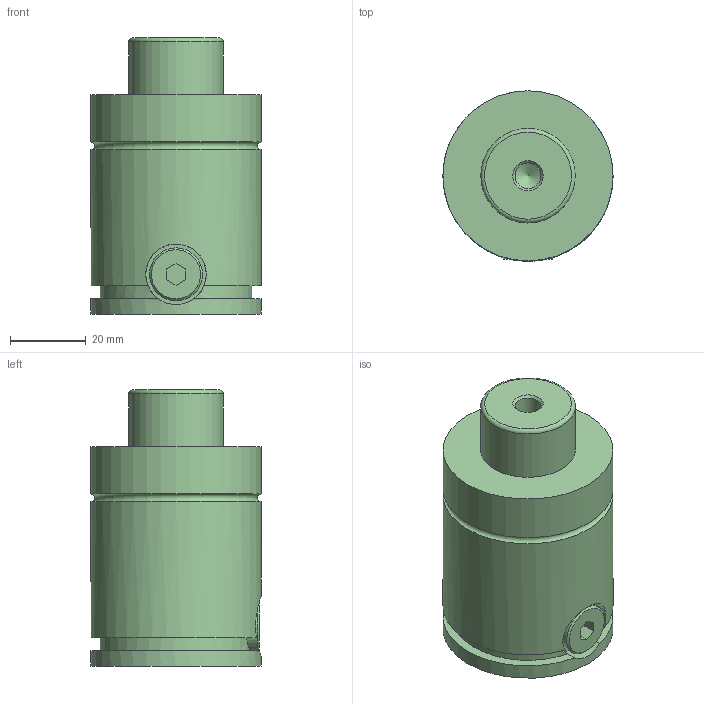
import cadquery as cq
import math

body_diameter = 45.0
body_height = 58.0

rod_diameter = 25.0
rod_length = 15.0
rod_edge_radius = 1.0
total_height = body_height + rod_length

base_flange_height = 4.0
clamp_groove_width = 3.5
clamp_groove_diameter = 40.0

ring_groove_center_height = 44.5
ring_groove_radius = 1.0

hole_diameter = 6.8
hole_mouth_diameter = 8.0
hole_depth = 20.0
drill_point_angle = 118.0

plug_center_height = 10.5
recess_diameter = 16.0
recess_depth = 5.0
plug_diameter = 14.0
plug_face_setback = 0.5
plug_chamfer = 0.5
hex_across_flats = 5.0
hex_depth = 4.0

body_radius = body_diameter / 2
recess_floor_y = -body_radius + recess_depth
plug_face_y = -body_radius + plug_face_setback


def ring(outer_diameter, inner_diameter, bottom, height):
    """Flat ring around the Z axis."""
    return (
        cq.Workplane("XY", origin=(0, 0, bottom))
        .circle(outer_diameter / 2)
        .circle(inner_diameter / 2)
        .extrude(height)
    )


def plug_plane(y):
    """Workplane centred on the plug axis at the given Y, facing outward along -Y."""
    return cq.Workplane("XZ", origin=(0, y, plug_center_height))


def make_body():
    body = cq.Workplane("XY").circle(body_radius).extrude(body_height)
    clamp_groove = ring(body_diameter, clamp_groove_diameter, base_flange_height, clamp_groove_width)
    return body.cut(clamp_groove)


def make_rod():
    rod = cq.Workplane("XY", origin=(0, 0, body_height)).circle(rod_diameter / 2).extrude(rod_length)
    return rod.faces(">Z").edges().fillet(rod_edge_radius)


def make_ring_groove():
    """Half-round groove whose centre line lies on the body surface."""
    return (
        cq.Workplane("XZ")
        .center(body_radius, ring_groove_center_height)
        .circle(ring_groove_radius)
        .revolve(360, (-body_radius, 0), (-body_radius, 1))
    )


def make_rod_hole():
    """Blind drilled hole with a conical bottom and a 45 degree mouth chamfer."""
    radius = hole_diameter / 2
    mouth_radius = hole_mouth_diameter / 2
    point_height = radius / math.tan(math.radians(drill_point_angle / 2))
    hole_bottom = total_height - hole_depth
    return (
        cq.Workplane("XZ")
        .moveTo(0, total_height)
        .lineTo(mouth_radius, total_height)
        .lineTo(radius, total_height - (mouth_radius - radius))
        .lineTo(radius, hole_bottom)
        .lineTo(0, hole_bottom - point_height)
        .close()
        .revolve(360, (0, 0), (0, 1))
    )


def add_plug(part):
    """Hex-socket plug standing in a wider round recess that crosses the clamping groove."""
    recess = plug_plane(recess_floor_y).circle(recess_diameter / 2).extrude(recess_depth)
    plug = plug_plane(recess_floor_y).circle(plug_diameter / 2).extrude(recess_floor_y - plug_face_y)
    plug = plug.faces("<Y").edges().chamfer(plug_chamfer)
    hex_corner_diameter = hex_across_flats / math.cos(math.pi / 6)
    hex_socket = (
        plug_plane(plug_face_y)
        .transformed(rotate=(0, 0, 90))
        .polygon(6, hex_corner_diameter)
        .extrude(-hex_depth)
    )
    return part.cut(recess).union(plug).cut(hex_socket)


result = make_body().union(make_rod())
result = result.cut(make_ring_groove()).cut(make_rod_hole())
result = add_plug(result)